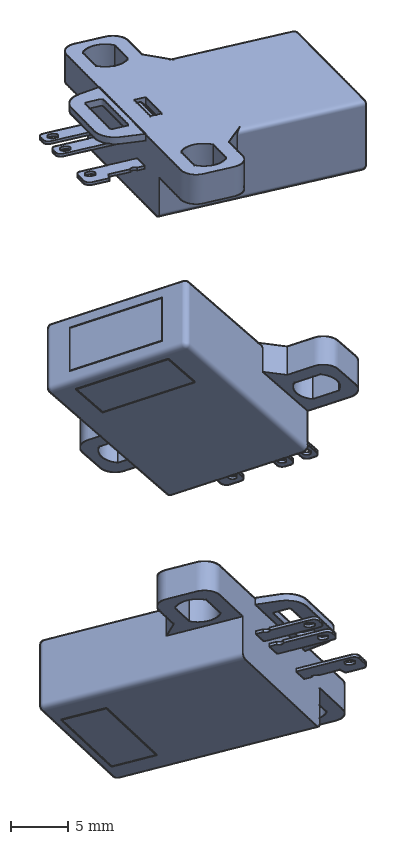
import cadquery as cq


BODY_WIDTH = 14.5
BODY_LENGTH = 20.22
BODY_HEIGHT = 7.02
BODY_FILLET = 0.5

PLATE_WIDTH = 26.2
PLATE_DEPTH = 6.0
PLATE_THICKNESS = 2.95
PLATE_CORNER_RADIUS = 1.5
GUSSET_HALF_WIDTH = 8.8

HOLE_SPACING = 20
HOLE_DIAMETER = 4.1
HOLE_FLAT_SPACING = 3.1

PAD_THICKNESS = 0.08
PAD_WIDTH = 9.47
PAD_LENGTH = 4.45
BOTTOM_PAD_REAR_GAP = 1.0

WINDOW_WIDTH = 3.3
WINDOW_FRONT = 1.81
WINDOW_BACK = 2.92
WINDOW_DEPTH = 0.74
LATCH_WIDTH = 2.92
LATCH_TOP_DEPTH = 0.24
LATCH_FLAT_LENGTH = 0.53

TAB_CENTER_X = -0.2
TAB_ROOT_WIDTH = 9.42
TAB_END_WIDTH = 7.95
TAB_LENGTH = 3.85
TAB_THICKNESS = 0.68
TAB_RISE = 0.08
TAB_CORNER_RADIUS = 2.0
SLOT_WIDTH = 5.37
SLOT_LENGTH = 1.75
SLOT_FRONT_GAP = 0.65
SLOT_CORNER_RADIUS = 0.2

TERMINAL_LENGTH = 6.0
TERMINAL_WIDTH = 1.53
TERMINAL_THICKNESS = 0.3
TERMINAL_TOP = -3.2
TERMINAL_TIP_RADIUS = 0.5
TERMINAL_HOLE_WIDTH = 0.8
TERMINAL_HOLE_LENGTH = 0.97
TERMINAL_HOLE_Y = -4.92
LEFT_TERMINAL_X = -4.05
MIDDLE_TERMINAL_X = -1.53
RIGHT_TERMINAL_X = 3.55
NOTCH_Y = -1.08
NOTCH_LENGTH = 0.65
NOTCH_DEPTH = 0.18
LUG_REACH = 0.68
LUG_INNER_Y = -3.52
LUG_OUTER_Y = -3.73
LUG_TIP_RADIUS = 0.6


def box(x_min, x_max, y_min, y_max, z_min, z_max):
    size = (x_max - x_min, y_max - y_min, z_max - z_min)
    return cq.Workplane("XY").box(*size, centered=False).translate((x_min, y_min, z_min))


def centered_box(width, y_min, y_max, z_min, z_max):
    return box(-width / 2, width / 2, y_min, y_max, z_min, z_max)


def make_body():
    body = centered_box(BODY_WIDTH, 0, BODY_LENGTH, -BODY_HEIGHT, 0)
    return body.edges("|Y or >Y").fillet(BODY_FILLET)


def make_plate():
    inner_half_width = BODY_WIDTH / 2 - BODY_FILLET
    gusset_back = PLATE_DEPTH + GUSSET_HALF_WIDTH - inner_half_width
    ears = centered_box(PLATE_WIDTH, 0, PLATE_DEPTH, -PLATE_THICKNESS, 0)
    ears = ears.edges("|Z").fillet(PLATE_CORNER_RADIUS)
    gussets = (
        cq.Workplane("XY")
        .moveTo(-GUSSET_HALF_WIDTH, PLATE_DEPTH)
        .lineTo(-inner_half_width, gusset_back)
        .lineTo(inner_half_width, gusset_back)
        .lineTo(GUSSET_HALF_WIDTH, PLATE_DEPTH)
        .close()
        .extrude(-PLATE_THICKNESS)
    )
    return ears.union(gussets)


def make_mounting_hole(x):
    y = PLATE_DEPTH / 2
    round_hole = cq.Workplane("XY").center(x, y).circle(HOLE_DIAMETER / 2).extrude(-PLATE_THICKNESS)
    flats = cq.Workplane("XY").center(x, y).rect(HOLE_DIAMETER, HOLE_FLAT_SPACING)
    return round_hole.intersect(flats.extrude(-PLATE_THICKNESS))


def make_pads():
    pad_middle = -BODY_HEIGHT / 2
    back_pad = centered_box(
        PAD_WIDTH,
        BODY_LENGTH - BODY_FILLET,
        BODY_LENGTH + PAD_THICKNESS,
        pad_middle - PAD_LENGTH / 2,
        pad_middle + PAD_LENGTH / 2,
    )
    pad_back = BODY_LENGTH - BOTTOM_PAD_REAR_GAP
    bottom_pad = centered_box(
        PAD_WIDTH,
        pad_back - PAD_LENGTH,
        pad_back,
        -BODY_HEIGHT - PAD_THICKNESS,
        -BODY_HEIGHT + BODY_FILLET,
    )
    return back_pad.union(bottom_pad)


def make_latch_window():
    window = centered_box(WINDOW_WIDTH, WINDOW_FRONT, WINDOW_BACK, -WINDOW_DEPTH, 0)
    slope_start = WINDOW_FRONT + LATCH_FLAT_LENGTH
    slope_run = WINDOW_DEPTH - LATCH_TOP_DEPTH
    latch = (
        cq.Workplane("YZ")
        .moveTo(WINDOW_FRONT, -WINDOW_DEPTH)
        .lineTo(WINDOW_FRONT, -LATCH_TOP_DEPTH)
        .lineTo(slope_start, -LATCH_TOP_DEPTH)
        .lineTo(slope_start + slope_run, -WINDOW_DEPTH)
        .close()
        .extrude(LATCH_WIDTH / 2, both=True)
    )
    return window.cut(latch)


def make_tab():
    tab_bottom = TAB_RISE - TAB_THICKNESS
    tab = (
        cq.Workplane("XY", origin=(TAB_CENTER_X, 0, tab_bottom))
        .moveTo(-TAB_ROOT_WIDTH / 2, 0)
        .lineTo(-TAB_END_WIDTH / 2, -TAB_LENGTH)
        .lineTo(TAB_END_WIDTH / 2, -TAB_LENGTH)
        .lineTo(TAB_ROOT_WIDTH / 2, 0)
        .close()
        .extrude(TAB_THICKNESS)
        .edges("|Z and <Y")
        .fillet(TAB_CORNER_RADIUS)
    )
    slot_back = -SLOT_FRONT_GAP
    slot = centered_box(SLOT_WIDTH, slot_back - SLOT_LENGTH, slot_back, tab_bottom, TAB_RISE)
    slot = slot.edges("|Z").fillet(SLOT_CORNER_RADIUS)
    return tab.cut(slot.translate((TAB_CENTER_X, 0, 0)))


def make_terminal(x, notch_side, has_lug=False):
    """Terminal blade centred on x, notched near its root on the given side (-1 left, 1 right)."""
    half_width = TERMINAL_WIDTH / 2
    bottom = TERMINAL_TOP - TERMINAL_THICKNESS
    plane = cq.Workplane("XY", origin=(x, 0, bottom))
    outline = plane.moveTo(-half_width, 0).lineTo(-half_width, -TERMINAL_LENGTH)
    if has_lug:
        lug_x = half_width + LUG_REACH
        outline = outline.lineTo(lug_x, -TERMINAL_LENGTH)
        outline = outline.lineTo(lug_x, LUG_OUTER_Y).lineTo(half_width, LUG_INNER_Y)
    else:
        outline = outline.lineTo(half_width, -TERMINAL_LENGTH)
    blade = outline.lineTo(half_width, 0).close().extrude(TERMINAL_THICKNESS)
    blade = blade.edges("|Z and <Y").edges("<X").fillet(TERMINAL_TIP_RADIUS)
    right_tip_radius = LUG_TIP_RADIUS if has_lug else TERMINAL_TIP_RADIUS
    blade = blade.faces("<Y").edges("|Z and >X").fillet(right_tip_radius)

    hole = plane.center(0, TERMINAL_HOLE_Y)
    hole = hole.slot2D(TERMINAL_HOLE_LENGTH, TERMINAL_HOLE_WIDTH, 90).extrude(TERMINAL_THICKNESS)
    edge_x = notch_side * half_width
    notch = (
        plane.moveTo(edge_x, NOTCH_Y + NOTCH_LENGTH / 2)
        .threePointArc(
            (edge_x - notch_side * NOTCH_DEPTH, NOTCH_Y),
            (edge_x, NOTCH_Y - NOTCH_LENGTH / 2),
        )
        .close()
        .extrude(TERMINAL_THICKNESS)
    )
    return blade.cut(hole).cut(notch)


result = make_body().union(make_plate()).union(make_pads()).union(make_tab())
for hole_x in (-HOLE_SPACING / 2, HOLE_SPACING / 2):
    result = result.cut(make_mounting_hole(hole_x))
result = result.cut(make_latch_window())
result = result.union(make_terminal(LEFT_TERMINAL_X, notch_side=-1))
result = result.union(make_terminal(MIDDLE_TERMINAL_X, notch_side=-1))
result = result.union(make_terminal(RIGHT_TERMINAL_X, notch_side=1, has_lug=True))